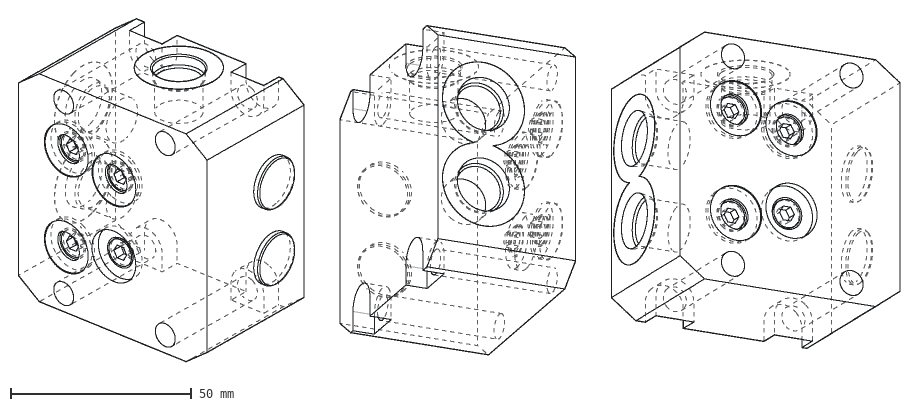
import cadquery as cq
import math


width = 68.43
depth = 41.5
height = 71.88
overall_x = 70.33
overall_y = 42.27
corner_x = 7.6
corner_z = 5.6

mount_hole_dia = 7.2
mount_x = (16.45, 53.3)
mount_z = 30.2
head_slot_width = 11.8
head_slot_depth = 6.4

port_y = -13.75
port_x = 34.65
port_z = 12.0
spot_face_dia = 24.7
spot_face_depth = 0.1
port_mouth_dia = 15.65
port_seat_dia = 14.7
port_bore_dia = 13.4
top_chamfer_depth = 0.4
top_chamfer_end = spot_face_depth + top_chamfer_depth
port_step_start = 3.2
port_step_end = port_step_start + (port_seat_dia - port_bore_dia) / 2
port_depth = 14.0

plug_dia = port_mouth_dia
plug_height = overall_x - width
plug_chamfer_axial = 0.5
plug_chamfer_radial = 0.35

inner_seat_x = port_x
outer_seat_x = 17.4
seat_outer_z = 15.25
seat_dia = 15.9
ring_section_dia = 3.5
ring_projection = overall_y - depth
seat_depth = ring_section_dia - ring_projection
ringed_seats = [
    (outer_seat_x, seat_outer_z),
    (inner_seat_x, port_z),
    (outer_seat_x, -seat_outer_z),
]
empty_seat = (inner_seat_x, -port_z)

groove_dia = 9.2
screw_head_dia = 8.2
groove_depth = 0.8
socket_across_flats = 4.0
socket_depth = 3.0


def revolved_solid(profile, origin, direction):
    """Solid of revolution from (radius, distance) points; the axis runs along direction."""
    points = [(0, profile[0][1]), *profile, (0, profile[-1][1])]
    solid = cq.Workplane("XY").polyline(points).close().revolve(360, (0, 0, 0), (0, 1, 0))
    plane = cq.Plane(origin=origin, normal=direction)
    upright = solid.rotate((0, 0, 0), (1, 0, 0), 90)
    return cq.Workplane(upright.val().moved(cq.Location(plane)))


def make_block():
    half = height / 2
    return (
        cq.Workplane("XZ")
        .moveTo(corner_x, -half)
        .lineTo(width - corner_x, -half)
        .lineTo(width, -half + corner_z)
        .lineTo(width, half - corner_z)
        .lineTo(width - corner_x, half)
        .lineTo(corner_x, half)
        .lineTo(0, half - corner_z)
        .lineTo(0, -half + corner_z)
        .close()
        .extrude(depth)
    )


def cut_mounting_holes(body):
    centers = [(x, side * mount_z) for x in mount_x for side in (1, -1)]
    holes = cq.Workplane("XZ").pushPoints(centers).circle(mount_hole_dia / 2).extrude(depth)
    body = body.cut(holes)
    open_length = height / 2 - mount_z
    for x, z in centers:
        round_end = cq.Workplane("XZ").center(x, z).circle(head_slot_width / 2).extrude(head_slot_depth)
        side = math.copysign(1, z)
        straight = (
            cq.Workplane("XZ")
            .center(x, z + side * open_length / 2)
            .rect(head_slot_width, open_length)
            .extrude(head_slot_depth)
        )
        body = body.cut(round_end).cut(straight)
    return body


def port_cutter(taper_end, origin, direction):
    """Port whose mouth narrows to the seat diameter at the distance taper_end."""
    profile = [
        (spot_face_dia / 2, 0),
        (spot_face_dia / 2, spot_face_depth),
        (port_mouth_dia / 2, spot_face_depth),
        (port_seat_dia / 2, taper_end),
    ]
    if taper_end < port_step_start:
        profile.append((port_seat_dia / 2, port_step_start))
    profile += [(port_bore_dia / 2, port_step_end), (port_bore_dia / 2, port_depth)]
    return revolved_solid(profile, origin, direction)


def cut_ports(body):
    body = body.cut(port_cutter(top_chamfer_end, (port_x, port_y, height / 2), (0, 0, -1)))
    for z in (port_z, -port_z):
        body = body.cut(port_cutter(port_step_start, (0, port_y, z), (1, 0, 0)))
    return body


def add_plugs(body):
    tip_dia = plug_dia - 2 * plug_chamfer_radial
    profile = [
        (plug_dia / 2, 0),
        (plug_dia / 2, plug_height - plug_chamfer_axial),
        (tip_dia / 2, plug_height),
    ]
    for z in (port_z, -port_z):
        body = body.union(revolved_solid(profile, (width, port_y, z), (1, 0, 0)))
    return body


def cut_seats(body):
    seat_profile = [
        (seat_dia / 2, 0),
        (seat_dia / 2, seat_depth),
        (groove_dia / 2, seat_depth),
        (screw_head_dia / 2, seat_depth + groove_depth),
    ]
    across_corners = socket_across_flats / math.cos(math.pi / 6)
    floor_y = seat_depth - depth
    for x, z in [*ringed_seats, empty_seat]:
        seat = revolved_solid(seat_profile, (x, -depth, z), (0, 1, 0))
        screw_head = (
            cq.Workplane("XZ", origin=(x, floor_y + groove_depth, z))
            .circle(screw_head_dia / 2)
            .extrude(groove_depth)
        )
        socket = (
            cq.Workplane("XZ", origin=(x, floor_y + socket_depth, z))
            .polygon(6, across_corners)
            .extrude(socket_depth)
        )
        body = body.cut(seat.cut(screw_head)).cut(socket)
    return body


def make_housing():
    body = make_block()
    body = cut_mounting_holes(body)
    body = cut_ports(body)
    body = add_plugs(body)
    return cut_seats(body)


def make_o_ring(x, z):
    section_radius = ring_section_dia / 2
    ring_radius = seat_dia / 2 - section_radius
    center = cq.Vector(x, section_radius - depth - ring_projection, z)
    return cq.Workplane(cq.Solid.makeTorus(ring_radius, section_radius, center, cq.Vector(0, 1, 0)))


housing = make_housing()
o_rings = [make_o_ring(x, z) for x, z in ringed_seats]
result = cq.Compound.makeCompound([housing.val(), *[ring.val() for ring in o_rings]])